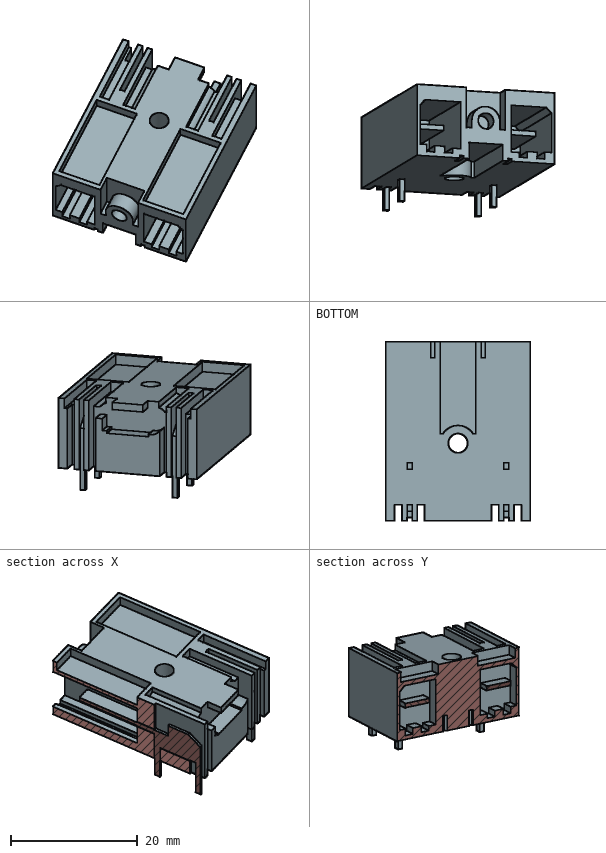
import cadquery as cq
import math

WIDTH = 22.87
LENGTH = 28.3
HEIGHT = 11.45
HALF_WIDTH = WIDTH / 2
MATE_DEPTH = 2.55
MATE_START = LENGTH - MATE_DEPTH

POCKET_EDGE = 0.8
POCKET_WIDTH = 6.9
POCKET_LENGTH = 15.05
POCKET_DEPTH = 1.6

SOCKET_LEFT = 0.55 - HALF_WIDTH
SOCKET_RIGHT = 7.22 - HALF_WIDTH
SOCKET_TOP = HEIGHT - 2.43
SOCKET_CHAMFER = 0.88
SOCKET_DEPTH = POCKET_EDGE + POCKET_LENGTH
OUTER_STEP = 1.85
INNER_STEP = 1.5
RIB_TOP = 1.73
GROOVE_FLOOR = 0.74
GROOVE_1_OFFSET = 1.1
GROOVE_WIDTH = 1.3
RIB_WIDTH = 1.65

CONTACT_X = -7.65
METAL = 0.8
BLADE_WIDTH = 4.53
BLADE_TOP = HEIGHT - 5.35
BLADE_TIP = 5.0
PLATE_REAR = LENGTH - 0.55
PLATE_FRONT = LENGTH - 9.2
PLATE_SHOULDER = LENGTH - 6.65
PLATE_TOP = HEIGHT - 3.2
RAMP_LENGTH = 2.3
RAMP_DROP = 1.6
PLATE_BOTTOM = 2.83
LEG_WIDTH = 1.0
LEG_LENGTH = 3.45

SLOT_LENGTH = 11.7
OUTER_WALL = 1.0
FIN_BLOCK_WIDTH = 2.43
FIN_LEFT = CONTACT_X - FIN_BLOCK_WIDTH / 2
FIN_RIGHT = CONTACT_X + FIN_BLOCK_WIDTH / 2
SLOT_DEPTH = 1.6
LEDGE_WIDTH = 0.45
INNER_NOTCH_RIGHT = -5.3

TONGUE_HALF_WIDTH = 4.4
TIP_HALF_WIDTH = 2.52
TIP_THICKNESS = 1.15
BORE_RADIUS = 1.95
BORE_X = 3.82
PASSAGE_HALF_WIDTH = 3.45
PASSAGE_HEIGHT = 3.95
BORE_Z = HEIGHT - 2.8
STOP_LEFT = 4.22
STOP_TOP = BORE_Z

BAY_WIDTH = 6.45
BAY_HEIGHT = 6.45
BOSS_RADIUS = 2.32
BOSS_Z = HEIGHT - 5.24
BOSS_HOLE_RADIUS = 1.27
SCREW_Y = 16.02
SCREW_RADIUS = 1.5
SCREW_WALL_RADIUS = 2.8
CHANNEL_WIDTH = 5.6
CHANNEL_HEIGHT = 2.6
BULGE_HALF_WIDTH = 2.35
KEY_GROOVE_X = -4.02
KEY_GROOVE_WIDTH = 0.62
KEY_GROOVE_DEPTH = 0.42


def block(x0, x1, y0, y1, z0, z1):
    """Box between two opposite corners."""
    return cq.Workplane("XY").box(x1 - x0, y1 - y0, z1 - z0, centered=False).translate((x0, y0, z0))


def rod(radius, x, z, y0, y1):
    """Cylinder along Y."""
    return cq.Workplane("XZ", origin=(x, y0, z)).circle(radius).extrude(y0 - y1)


def both_sides(left):
    """Left-hand shape together with its mirror image."""
    return left.union(left.mirror("YZ"))


def label_pocket():
    left = POCKET_EDGE - HALF_WIDTH
    rear = POCKET_EDGE + POCKET_LENGTH
    return block(left, left + POCKET_WIDTH, POCKET_EDGE, rear, HEIGHT - POCKET_DEPTH, HEIGHT)


def socket():
    """Chamfered opening whose floor has two grooves with a rib between them."""
    groove_1_left = SOCKET_LEFT + GROOVE_1_OFFSET
    groove_1_right = groove_1_left + GROOVE_WIDTH
    groove_2_left = groove_1_right + RIB_WIDTH
    groove_2_right = groove_2_left + GROOVE_WIDTH
    outline = [
        (SOCKET_LEFT, OUTER_STEP),
        (groove_1_left, OUTER_STEP),
        (groove_1_left, GROOVE_FLOOR),
        (groove_1_right, GROOVE_FLOOR),
        (groove_1_right, RIB_TOP),
        (groove_2_left, RIB_TOP),
        (groove_2_left, GROOVE_FLOOR),
        (groove_2_right, GROOVE_FLOOR),
        (groove_2_right, INNER_STEP),
        (SOCKET_RIGHT, INNER_STEP),
        (SOCKET_RIGHT, SOCKET_TOP),
        (SOCKET_LEFT + SOCKET_CHAMFER, SOCKET_TOP),
        (SOCKET_LEFT, SOCKET_TOP - SOCKET_CHAMFER),
    ]
    return cq.Workplane("XZ").polyline(outline).close().extrude(-SOCKET_DEPTH)


def rear_slots():
    """Open slots on both sides of the fins, the inner one humped, and the notches below them."""
    front = LENGTH - SLOT_LENGTH
    floor = HEIGHT - SLOT_DEPTH
    wall = OUTER_WALL - HALF_WIDTH
    outer = block(wall, FIN_LEFT, front, LENGTH, floor, HEIGHT)
    inner = block(FIN_RIGHT, -TONGUE_HALF_WIDTH, front, LENGTH, floor, HEIGHT)
    hump = rod(BORE_RADIUS, -BORE_X, BORE_Z, front, LENGTH)
    outer_notch = block(wall + LEDGE_WIDTH, FIN_LEFT, MATE_START, LENGTH, 0, HEIGHT)
    inner_notch = block(FIN_RIGHT, INNER_NOTCH_RIGHT, MATE_START, LENGTH, 0, HEIGHT)
    return outer.union(inner.cut(hump)).union(outer_notch).union(inner_notch)


def terminal_slit():
    """Slit between the fins, open downwards at the rear end."""
    left = CONTACT_X - METAL / 2
    right = CONTACT_X + METAL / 2
    slit = block(left, right, PLATE_FRONT, LENGTH, PLATE_BOTTOM, HEIGHT)
    return slit.union(block(left, right, MATE_START, LENGTH, 0, HEIGHT))


def tongue_recess():
    """Two bores joined by a passage below the tongue tip, open upwards beside the tip."""
    bore = rod(BORE_RADIUS, -BORE_X, BORE_Z, MATE_START, LENGTH)
    top = HEIGHT - TIP_THICKNESS
    passage = block(
        -PASSAGE_HALF_WIDTH, PASSAGE_HALF_WIDTH, MATE_START, LENGTH, top - PASSAGE_HEIGHT, top,
    )
    recess = both_sides(bore).union(passage)
    beside_tip = block(INNER_NOTCH_RIGHT, -TIP_HALF_WIDTH, MATE_START, LENGTH, BORE_Z, HEIGHT)
    stop = block(STOP_LEFT, -INNER_NOTCH_RIGHT, MATE_START, LENGTH, 0, STOP_TOP)
    return recess.union(both_sides(beside_tip)).cut(stop)


def front_bay():
    """Recess in the front face that leaves a round-topped boss standing."""
    bottom = HEIGHT - BAY_HEIGHT
    bay = block(-BAY_WIDTH / 2, BAY_WIDTH / 2, 0, MATE_DEPTH, bottom, HEIGHT)
    boss_foot = block(-BOSS_RADIUS, BOSS_RADIUS, 0, MATE_DEPTH, bottom, BOSS_Z)
    boss = rod(BOSS_RADIUS, 0, BOSS_Z, 0, MATE_DEPTH).union(boss_foot)
    return bay.cut(boss).union(rod(BOSS_HOLE_RADIUS, 0, BOSS_Z, 0, MATE_DEPTH))


def bottom_channel():
    """Channel in the underside that ends at the round wall of the screw hole."""
    end = SCREW_Y - math.sqrt(SCREW_WALL_RADIUS**2 - BULGE_HALF_WIDTH**2)
    channel = block(-CHANNEL_WIDTH / 2, CHANNEL_WIDTH / 2, 0, end, 0, CHANNEL_HEIGHT)
    wall = cq.Workplane("XY").center(0, SCREW_Y).circle(SCREW_WALL_RADIUS).extrude(CHANNEL_HEIGHT)
    return channel.cut(wall)


def key_groove():
    left = KEY_GROOVE_X - KEY_GROOVE_WIDTH / 2
    return block(left, left + KEY_GROOVE_WIDTH, 0, MATE_DEPTH, 0, KEY_GROOVE_DEPTH)


def make_left_terminal():
    """Horizontal blade, upright plate with a ramped rear end, and two legs."""
    ramp_start = PLATE_REAR - RAMP_LENGTH
    profile = [
        (PLATE_FRONT, PLATE_BOTTOM),
        (PLATE_FRONT, BLADE_TOP),
        (PLATE_SHOULDER, BLADE_TOP),
        (PLATE_SHOULDER, PLATE_TOP),
        (ramp_start, PLATE_TOP),
        (PLATE_REAR, PLATE_TOP - RAMP_DROP),
        (PLATE_REAR, PLATE_BOTTOM),
    ]
    left = CONTACT_X - METAL / 2
    right = CONTACT_X + METAL / 2
    plate = cq.Workplane("YZ", origin=(left, 0, 0)).polyline(profile).close().extrude(METAL)
    blade = block(
        CONTACT_X - BLADE_WIDTH / 2, CONTACT_X + BLADE_WIDTH / 2,
        BLADE_TIP, PLATE_FRONT, BLADE_TOP - METAL, BLADE_TOP,
    )
    terminal = plate.union(blade)
    for leg_front in (PLATE_FRONT, PLATE_REAR - LEG_WIDTH):
        leg = block(left, right, leg_front, leg_front + LEG_WIDTH, -LEG_LENGTH, PLATE_BOTTOM)
        terminal = terminal.union(leg)
    return terminal


def make_housing(terminals):
    housing = block(-HALF_WIDTH, HALF_WIDTH, 0, LENGTH, 0, HEIGHT)
    for left_cut in (label_pocket(), socket(), rear_slots(), terminal_slit(), key_groove()):
        housing = housing.cut(both_sides(left_cut))
    housing = housing.cut(tongue_recess()).cut(front_bay()).cut(bottom_channel())
    screw_hole = cq.Workplane("XY").center(0, SCREW_Y).circle(SCREW_RADIUS).extrude(HEIGHT)
    housing = housing.cut(screw_hole)
    for terminal in terminals:
        housing = housing.cut(terminal)
    return housing


left_terminal = make_left_terminal()
terminals = [left_terminal, left_terminal.mirror("YZ")]
housing = make_housing(terminals)

result = cq.Compound.makeCompound([housing.val(), *[terminal.val() for terminal in terminals]])